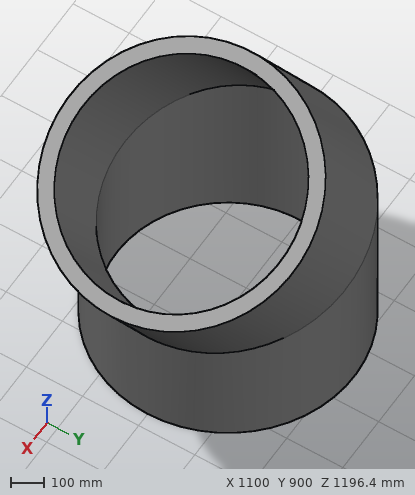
import cadquery as cq
import math

outer_diameter = 900.0
inner_diameter = 793.4
bend_angle = 30.0
short_side_length = 400.0

outer_radius = outer_diameter / 2
miter_rise = outer_radius * math.tan(math.radians(bend_angle / 2))
centre_length = short_side_length + miter_rise
long_side_length = centre_length + miter_rise


def make_leg():
    """Upright pipe on the XY plane, mitred at the top with its short side at +X."""
    pipe = (
        cq.Workplane("XY")
        .circle(outer_radius)
        .circle(inner_diameter / 2)
        .extrude(long_side_length)
    )
    side_profile = [
        (-outer_radius, 0),
        (outer_radius, 0),
        (outer_radius, short_side_length),
        (-outer_radius, long_side_length),
    ]
    miter_envelope = (
        cq.Workplane("XZ")
        .polyline(side_profile)
        .close()
        .extrude(outer_radius, both=True)
    )
    return pipe.intersect(miter_envelope)


def make_upper_leg(lower_leg):
    """Flip the lower leg about the miter centre, then tilt it by the bend angle."""
    flipped_leg = lower_leg.mirror("XY", (0, 0, centre_length))
    tilt_axis_start = (0, 0, centre_length)
    tilt_axis_end = (0, 1, centre_length)
    return flipped_leg.rotate(tilt_axis_start, tilt_axis_end, bend_angle)


lower_leg = make_leg()
upper_leg = make_upper_leg(lower_leg)
result = lower_leg.union(upper_leg)